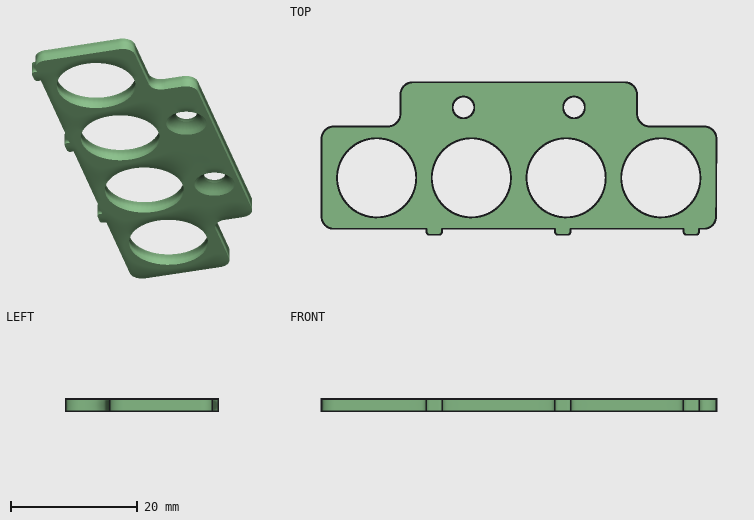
import cadquery as cq

thickness = 2.0
body_width = 62.5
body_height = 16.25
right_side_lean = 0.09
corner_radius = 2.0

raised_width = 37.5
raised_height = 7.0

large_hole_count = 4
large_hole_pitch = 15.0
large_hole_diameter = 12.5
large_hole_y = 8.1

small_hole_spacing = 17.5
small_hole_diameter = 3.4
countersink_depth = 1.5
countersink_diameter = small_hole_diameter + 2 * countersink_depth
small_hole_y = 19.25

tab_count = 3
tab_pitch = 20.35
tab_width = 2.5
tab_length = 0.95
tab_corner_radius = 0.55
first_tab_x = -13.38

half_body = body_width / 2
half_raised = raised_width / 2
total_height = body_height + raised_height


def make_plate():
    """Stepped plate with every upright edge rounded."""
    outline = [
        (-half_body, 0),
        (half_body, 0),
        (half_body + right_side_lean, body_height),
        (half_raised, body_height),
        (half_raised, total_height),
        (-half_raised, total_height),
        (-half_raised, body_height),
        (-half_body, body_height),
    ]
    plate = cq.Workplane("XY").polyline(outline).close().extrude(thickness)
    return plate.edges("|Z").fillet(corner_radius)


def make_tab(center_x):
    """Tab that sticks out of the front edge, with two rounded outer corners."""
    tab = (
        cq.Workplane("XY")
        .center(center_x, 0)
        .rect(tab_width, 2 * tab_length)
        .extrude(thickness)
    )
    return tab.edges("|Z and <Y").fillet(tab_corner_radius)


def cut_holes(plate, centers, diameter):
    """Cut a round through hole at each centre."""
    cutter = cq.Workplane("XY").pushPoints(centers).circle(diameter / 2).extrude(thickness)
    return plate.cut(cutter)


def cut_countersinks(plate, centers):
    """Cut a cone at each centre, widest at the underside of the plate."""
    for center in centers:
        cone = cq.Solid.makeCone(
            countersink_diameter / 2,
            small_hole_diameter / 2,
            countersink_depth,
            pnt=cq.Vector(*center, 0),
        )
        plate = plate.cut(cq.Workplane("XY").add(cone))
    return plate


result = make_plate()

for index in range(tab_count):
    result = result.union(make_tab(first_tab_x + index * tab_pitch))

first_large_hole_x = -large_hole_pitch * (large_hole_count - 1) / 2
large_hole_centers = [
    (first_large_hole_x + index * large_hole_pitch, large_hole_y)
    for index in range(large_hole_count)
]
result = cut_holes(result, large_hole_centers, large_hole_diameter)

small_hole_centers = [(side * small_hole_spacing / 2, small_hole_y) for side in (-1, 1)]
result = cut_holes(result, small_hole_centers, small_hole_diameter)
result = cut_countersinks(result, small_hole_centers)